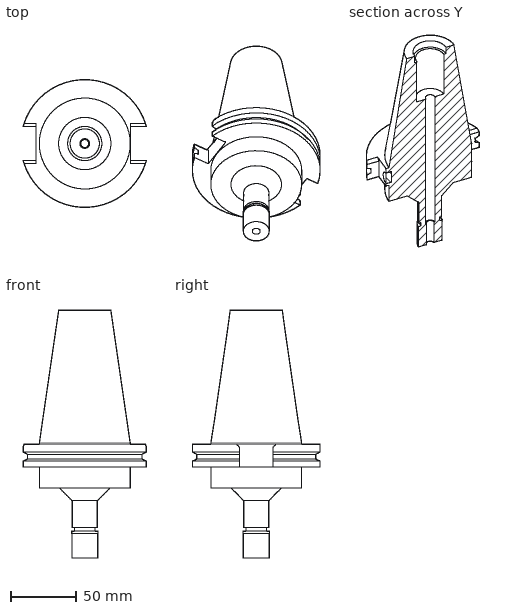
import cadquery as cq

HEIGHT = 190.5
NOSE_TOP = 18.9
COLLAR_TOP = 20.5
NECK_TOP = 23.5
SHANK_TOP = 44.0
HUB_BOTTOM = 53.7
FLANGE_BOTTOM = 69.7
FLANGE_TOP = 87.5
TAPER_BOTTOM = 88.5

NOSE_DIAMETER = 20.0
COLLAR_DIAMETER = 20.4
NECK_DIAMETER = 16.0
SHANK_DIAMETER = 19.5
HUB_DIAMETER = 70.0
FLANGE_DIAMETER = 98.3
TAPER_RATIO = 7 / 24

GROOVE_DIAMETER = 91.8
GROOVE_LOWER_EDGE = 74.5
GROOVE_FLOOR_BOTTOM = 76.0
GROOVE_FLOOR_TOP = 79.6
GROOVE_UPPER_EDGE = 81.3

MOUTH_DIAMETER = 26.3
MOUTH_DEPTH = 6.3
DRAWBAR_DIAMETER = 22.5
DRAWBAR_DEPTH = 45.7
CHANNEL_DIAMETER = 7.5
NOSE_HOLE_DIAMETER = 6.1

SLOT_WIDTH = 26.0
SLOT_CHAMFER = 2.3
LEFT_FLOOR = 37.5
RIGHT_FLOOR = 35.2

PLUG_DIAMETER = 10.0
PLUG_DEPTH = 4.5
PLUG_HEIGHT = 77.5

hub_radius = HUB_DIAMETER / 2
flange_radius = FLANGE_DIAMETER / 2
shank_radius = SHANK_DIAMETER / 2
neck_radius = NECK_DIAMETER / 2
nose_radius = NOSE_DIAMETER / 2
collar_radius = COLLAR_DIAMETER / 2
groove_radius = GROOVE_DIAMETER / 2
taper_end_radius = hub_radius - TAPER_RATIO * (HEIGHT - TAPER_BOTTOM) / 2
flare_radius = shank_radius + HUB_BOTTOM - SHANK_TOP


def make_blank():
    """Turned outer shape, from a half section in the XZ plane."""
    section = [
        (0, 0),
        (nose_radius, 0),
        (nose_radius, NOSE_TOP),
        (collar_radius, NOSE_TOP),
        (collar_radius, COLLAR_TOP),
        (neck_radius, COLLAR_TOP),
        (neck_radius, NECK_TOP),
        (shank_radius, NECK_TOP),
        (shank_radius, SHANK_TOP),
        (flare_radius, HUB_BOTTOM),
        (hub_radius, HUB_BOTTOM),
        (hub_radius, FLANGE_BOTTOM),
        (flange_radius, FLANGE_BOTTOM),
        (flange_radius, GROOVE_LOWER_EDGE),
        (groove_radius, GROOVE_FLOOR_BOTTOM),
        (groove_radius, GROOVE_FLOOR_TOP),
        (flange_radius, GROOVE_UPPER_EDGE),
        (flange_radius, FLANGE_TOP),
        (hub_radius, FLANGE_TOP),
        (hub_radius, TAPER_BOTTOM),
        (taper_end_radius, HEIGHT),
        (0, HEIGHT),
    ]
    return cq.Workplane("XZ").polyline(section).close().revolve(360, (0, 0), (0, 1))


def make_bore_step(diameter, bottom, top):
    """One cylindrical step of the axial bore."""
    return cq.Workplane("XY").workplane(offset=bottom).circle(diameter / 2).extrude(top - bottom)


def make_drive_slot(side, floor):
    """Slot through the flange on one side (-1 or +1 in X), with its top edges chamfered."""
    half_width = SLOT_WIDTH / 2
    half_mouth = half_width + SLOT_CHAMFER
    section = [
        (-half_width, FLANGE_BOTTOM),
        (half_width, FLANGE_BOTTOM),
        (half_width, FLANGE_TOP - SLOT_CHAMFER),
        (half_mouth, FLANGE_TOP),
        (-half_mouth, FLANGE_TOP),
        (-half_width, FLANGE_TOP - SLOT_CHAMFER),
    ]
    cutter = cq.Workplane("YZ").workplane(offset=side * floor).polyline(section).close()
    return cutter.extrude(side * (flange_radius - floor))


def make_plug():
    """Round plug whose outer face is flush with the left slot floor."""
    plug = cq.Workplane("YZ").workplane(offset=-LEFT_FLOOR).center(0, PLUG_HEIGHT)
    return plug.circle(PLUG_DIAMETER / 2).extrude(PLUG_DEPTH)


def make_holder(plug):
    """Tool holder with bore, drive slots and a recess that fits the plug."""
    drawbar_bottom = HEIGHT - DRAWBAR_DEPTH
    bore_steps = [
        (NOSE_HOLE_DIAMETER, 0, COLLAR_TOP),
        (CHANNEL_DIAMETER, COLLAR_TOP, drawbar_bottom),
        (DRAWBAR_DIAMETER, drawbar_bottom, HEIGHT - MOUTH_DEPTH),
        (MOUTH_DIAMETER, HEIGHT - MOUTH_DEPTH, HEIGHT),
    ]
    holder = make_blank()
    for diameter, bottom, top in bore_steps:
        holder = holder.cut(make_bore_step(diameter, bottom, top))
    for side, floor in [(-1, LEFT_FLOOR), (1, RIGHT_FLOOR)]:
        holder = holder.cut(make_drive_slot(side, floor))
    return holder.cut(plug)


plug = make_plug()
holder = make_holder(plug)
result = cq.Compound.makeCompound([holder.solids().val(), plug.val()])